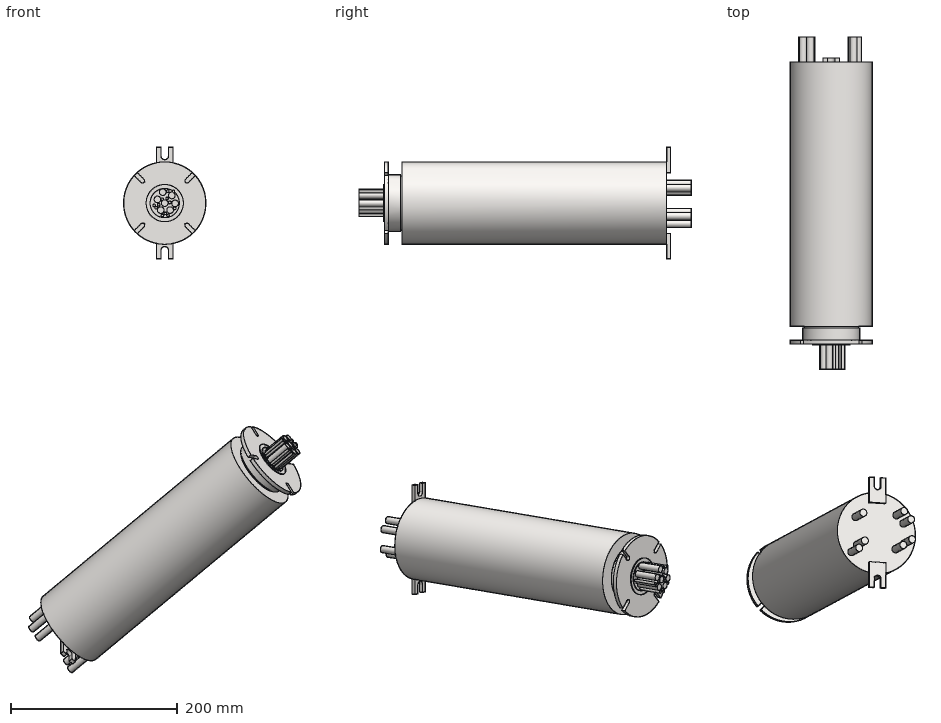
import cadquery as cq

overall_length = 398.5
overall_height = 134.0
body_radius = 49.5
body_length = 317.3
body_front = 21.0
body_back = body_front + body_length

flange_thickness = 4.8
neck_radius = 34.3
groove_radius = 32.5
groove_width = 1.5

flange_slot_count = 4
flange_slot_width = 5.0
flange_slot_inner_reach = 35.0

ring_outer_radius = 22.5
ring_inner_radius = 17.5
ring_height = 1.0

lug_width = 20.5
lug_thickness = 4.8
lug_inner_height = 36.3
lug_slot_width = 8.8
lug_slot_floor = 52.2

front_wire_length = 30.3
back_wire_length = overall_length - front_wire_length - body_back
wire_root = 2.0
front_wire_radius = 4.0
thin_wire_radius = 1.5
back_wire_radius = 4.5

front_wires = [
    (0, 0), (-2.5, 13.0), (8.5, 9.0), (12.5, -0.5),
    (6.5, -8.5), (-4.8, -8.5), (-8.8, 4.5),
]
front_thin_wires = [
    (-12.8, -2.8), (-10.5, -5.5), (-7.0, -2.0), (-3.0, 4.8), (2.8, 5.5), (3.5, 14.5), (10.5, 14.0),
    (6.0, 0.8), (12.0, -6.5), (0.8, -12.5), (-2.8, -14.7), (4.0, -14.7),
]
back_wires = [
    (-25.0, 23.0), (-34.0, 13.5), (-35.0, -10.8), (-24.0, -18.5),
    (26.7, 18.0), (24.7, -16.0), (32.0, -25.0),
]


def rods(centres, radius, start, end):
    """Round rods along Y from start to end at the given (X, Z) centres."""
    plane = cq.Workplane("XZ", origin=(0, start, 0))
    return plane.pushPoints(centres).circle(radius).extrude(start - end)


def disc(radius, start, end):
    """Disc around the Y axis from start to end."""
    return rods([(0, 0)], radius, start, end)


def round_ended_slot(width, floor, top, start, end):
    """Cutter reaching from a round floor up past top along Z, running along Y from start to end."""
    arc_centre = floor + width / 2
    channel = cq.Workplane("XY").box(
        width, end - start, top - arc_centre, centered=(True, False, False)
    )
    channel = channel.translate((0, start, arc_centre))
    return channel.union(rods([(0, arc_centre)], width / 2, start, end))


def make_flange():
    flange = disc(body_radius, 0, flange_thickness)
    slot = round_ended_slot(
        flange_slot_width, flange_slot_inner_reach, body_radius + flange_slot_width, 0, flange_thickness
    )
    pitch = 360 / flange_slot_count
    for index in range(flange_slot_count):
        flange = flange.cut(slot.rotate((0, 0, 0), (0, 1, 0), pitch * (index + 0.5)))
    ring = disc(ring_outer_radius, -ring_height, 0).cut(disc(ring_inner_radius, -ring_height, 0))
    return flange.union(ring)


def make_lug():
    lug_top = overall_height / 2
    lug = cq.Workplane("XY").box(
        lug_width, lug_thickness, lug_top - lug_inner_height, centered=(True, False, False)
    )
    lug = lug.translate((0, body_back, lug_inner_height))
    slot = round_ended_slot(lug_slot_width, lug_slot_floor, lug_top, body_back, body_back + lug_thickness)
    return lug.cut(slot)


groove_front = body_front - groove_width
result = disc(body_radius, body_front, body_back)
result = result.union(disc(groove_radius, groove_front, body_front))
result = result.union(disc(neck_radius, flange_thickness, groove_front))
result = result.union(make_flange())

upper_lug = make_lug()
result = result.union(upper_lug).union(upper_lug.mirror("XY"))

result = result.union(rods(front_wires, front_wire_radius, -front_wire_length, wire_root))
result = result.union(rods(front_thin_wires, thin_wire_radius, -front_wire_length, wire_root))
back_wire_end = body_back + back_wire_length
result = result.union(rods(back_wires, back_wire_radius, body_back - wire_root, back_wire_end))